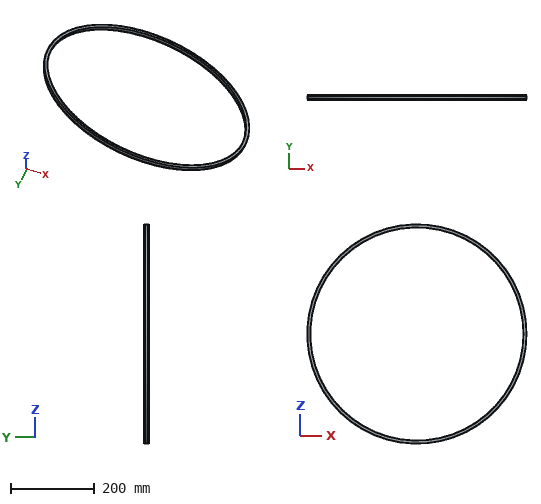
import cadquery as cq
import math

outer_diameter = 525.4625
section_width = 7.9375
section_height = 12.7
end_flat_width = 5.55625
seat_angle = 23.0
end_edge_radius = 1.5875

outer_radius = outer_diameter / 2
mean_radius = outer_radius - section_width / 2
bevel_radial = (section_width - end_flat_width) / 2
bevel_axial = bevel_radial / math.tan(math.radians(seat_angle))

half_height = section_height / 2
half_width = section_width / 2
half_end_flat = end_flat_width / 2
half_side_flat = half_height - bevel_axial


def make_section():
    """Octagonal section on the XY plane, centred on the mean radius."""
    corners = [
        (half_width, -half_side_flat),
        (half_width, half_side_flat),
        (half_end_flat, half_height),
        (-half_end_flat, half_height),
        (-half_width, half_side_flat),
        (-half_width, -half_side_flat),
        (-half_end_flat, -half_height),
        (half_end_flat, -half_height),
    ]
    return cq.Workplane("XY").center(mean_radius, 0).polyline(corners).close()


def make_ring():
    """Section swept a full turn around the Y axis."""
    return make_section().revolve(360, (-mean_radius, 0), (-mean_radius, 1))


def round_end_edges(ring):
    """Round the inner and outer edge of both end flats."""
    return ring.faces("<Y or >Y").edges().fillet(end_edge_radius)


result = round_end_edges(make_ring())